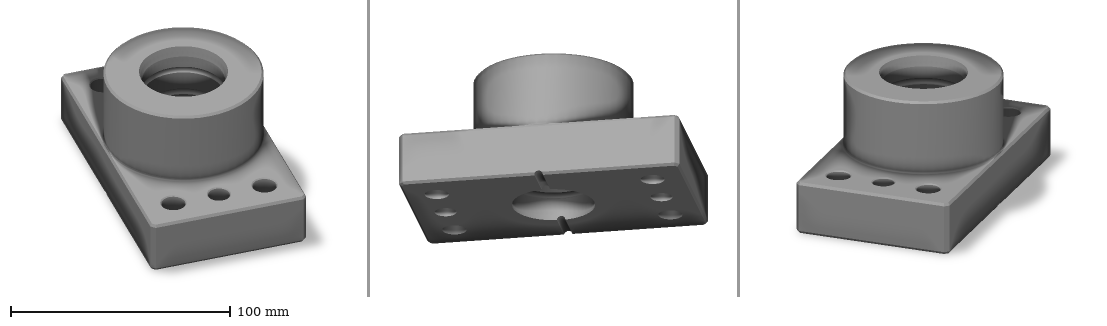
import cadquery as cq

LENGTH = 130.0
WIDTH = 75.0
HEIGHT = 60.0
BASE_HEIGHT = 25.0

CORNER_CHAMFER = 2.0
EDGE_CHAMFER_RUN = 0.85
EDGE_CHAMFER_DROP = 1.24

BOSS_DIAMETER = 73.0
BOSS_RADIUS = BOSS_DIAMETER / 2
BOSS_EDGE_CHAMFER = 1.0
ROOT_FILLET = 0.98

BORE_RADIUS = 19.0
ENTRY_RADIUS = 20.3
ENTRY_DEPTH = 4.8
GROOVE_RADIUS = 1.5
GROOVE_COUNT = 4
GROOVE_PITCH = HEIGHT / (GROOVE_COUNT + 1)

HOLE_X = 50.0
HOLE_Y = 22.0
SIDE_HOLE_DIAMETER = 11.0
MIDDLE_HOLE_DIAMETER = 10.0
HOLE_CHAMFER = 0.5

CHANNEL_RADIUS = 2.0


def make_base():
    """Plate with cut corners and bevelled top and bottom edges."""
    plate = cq.Workplane("XY").box(LENGTH, WIDTH, BASE_HEIGHT, centered=(True, True, False))
    plate = plate.edges("|Z").chamfer(CORNER_CHAMFER)
    top_rim = plate.faces(">Z").edges()
    plate = top_rim.chamfer(EDGE_CHAMFER_RUN, EDGE_CHAMFER_DROP)
    bottom_rim = plate.faces("<Z").edges()
    return bottom_rim.chamfer(EDGE_CHAMFER_RUN, EDGE_CHAMFER_DROP)


def make_boss():
    """Cylinder bevelled at its top rim, with a root fillet kept within the flat plate top."""
    boss = cq.Workplane("XY").circle(BOSS_RADIUS).extrude(HEIGHT)
    boss = boss.faces(">Z").edges().chamfer(BOSS_EDGE_CHAMFER)
    plate_top = cq.Workplane("XY").box(
        LENGTH, WIDTH - 2 * EDGE_CHAMFER_RUN, HEIGHT, centered=(True, True, False)
    )
    return boss.union(make_root_fillet().intersect(plate_top))


def make_root_fillet():
    """Concave ring between the boss wall and the plate top."""
    inner_radius = BOSS_RADIUS - ROOT_FILLET
    outer_radius = BOSS_RADIUS + ROOT_FILLET
    fillet_top = BASE_HEIGHT + ROOT_FILLET
    profile = (
        cq.Workplane("XZ")
        .moveTo(inner_radius, BASE_HEIGHT - ROOT_FILLET)
        .lineTo(inner_radius, fillet_top)
        .lineTo(BOSS_RADIUS, fillet_top)
        .radiusArc((outer_radius, BASE_HEIGHT), -ROOT_FILLET)
        .lineTo(BOSS_RADIUS, BASE_HEIGHT - ROOT_FILLET)
        .close()
    )
    return profile.revolve(360, (0, 0, 0), (0, 1, 0))


def make_bore():
    """Through bore, its tapered entry and its ring grooves."""
    profile = cq.Workplane("XZ").polyline([
        (0, 0),
        (BORE_RADIUS, 0),
        (BORE_RADIUS, HEIGHT - ENTRY_DEPTH),
        (ENTRY_RADIUS, HEIGHT),
        (0, HEIGHT),
    ]).close()
    bore = profile.revolve(360, (0, 0, 0), (0, 1, 0))
    for index in range(1, GROOVE_COUNT + 1):
        groove = cq.Solid.makeTorus(
            BORE_RADIUS, GROOVE_RADIUS, cq.Vector(0, 0, index * GROOVE_PITCH)
        )
        bore = bore.union(cq.Workplane(groove))
    return bore


def make_hole(x, y, diameter):
    """Through hole with a small bevel at the plate top."""
    radius = diameter / 2
    profile = cq.Workplane("XZ").polyline([
        (0, 0),
        (radius, 0),
        (radius, BASE_HEIGHT - HOLE_CHAMFER),
        (radius + HOLE_CHAMFER, BASE_HEIGHT),
        (0, BASE_HEIGHT),
    ]).close()
    return profile.revolve(360, (0, 0, 0), (0, 1, 0)).translate((x, y, 0))


def make_channel():
    """Rod along Y that leaves a half-round channel in the underside."""
    return cq.Workplane("XZ").circle(CHANNEL_RADIUS).extrude(WIDTH / 2, both=True)


def make_side_holes():
    """Rows of three holes, one row on each side of the boss."""
    holes = cq.Workplane("XY")
    for x in (-HOLE_X, HOLE_X):
        holes = holes.add(make_hole(x, 0, MIDDLE_HOLE_DIAMETER))
        for y in (-HOLE_Y, HOLE_Y):
            holes = holes.add(make_hole(x, y, SIDE_HOLE_DIAMETER))
    return holes.combine()


body = make_base().union(make_boss())
result = body.cut(make_bore()).cut(make_channel()).cut(make_side_holes())